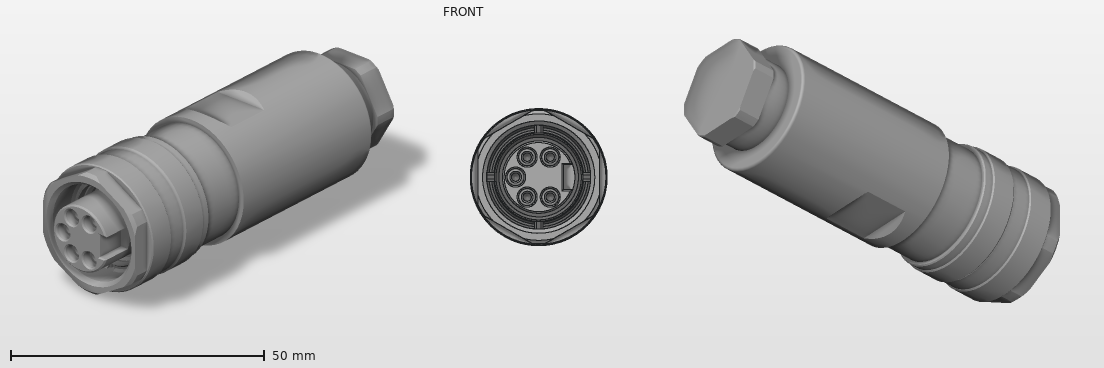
import cadquery as cq
import math

LENGTH = 82.6

NUT_FRONT = 2.65
NUT_END = 6.3
FRONT_COLLAR_END = 12.0
GROOVE_END = 15.9
REAR_COLLAR_END = 21.6
RING_END = 23.7
NECK_END = 33.6
BODY_END = 72.4
REAR_NECK_END = 77.5

BODY_DIA = 27.0
RING_DIA = 26.3
NECK_DIA = 24.5
REAR_NECK_DIA = 18.6
EDGE = 0.25
COLLAR_EDGE = 0.5
BODY_FILLET = 0.6

FRONT_HEX_FLATS = 23.95
FRONT_HEX_CORNER_DIA = 26.3
FRONT_HEX_EDGE = 0.7
REAR_HEX_FLATS = 19.0
REAR_HEX_CORNER_DIA = 21.0
REAR_HEX_EDGE = 0.25

FLAT_TO_FLAT = 24.1
FLAT_START = 38.5
FLAT_END = 48.4
CUT_OVERLAP = 0.8

MOUTH_DIA = 22.1
MOUTH_DEPTH = 1.0
BORE_DIA = 20.5
BORE_END = 8.9
TAPER_DIA = 19.6
SLEEVE_DIA = 18.6
SLEEVE_BASE = 9.6
SLEEVE_TIP_DIA = 17.8
SLEEVE_BORE_DIA = 17.4
GROOVE_MOUTH_DIA = 16.85
GROOVE_DIA = 15.7
GROOVE_FRONT = 10.7
GROOVE_TAPER_END = 11.3
RECESS_END = 12.4

SLIT_COUNT = 4
SLIT_WIDTH = 1.7
SLIT_DEPTH = 1.0
SLIT_INNER_WIDTH = 0.8
SLIT_INNER_DEPTH = 1.5

INSERT_DIA = 14.3
INSERT_EDGE = 0.3
CONTACT_CIRCLE_RADIUS = 4.55
CONTACT_ANGLES = (60, 120, 180, 240, 300)
CONTACT_HOLE_DIA = 3.4
CONTACT_HOLE_DEPTH = 2.2
CONTACT_HOLE_EDGE = 0.29
CONTACT_MOUTH_DIA = 2.3
CONTACT_BORE_DIA = 1.65
CONTACT_BORE_DEPTH = 4.95
CONTACT_TIP_DEPTH = 0.7
KEYWAY_WALL_X = 4.9
KEYWAY_WIDTH = 4.95
KEYWAY_END = 6.6
KEYWAY_EDGE = 0.25


def revolve_y(points):
    """Turn a closed (radius, y) outline about the Y axis."""
    return cq.Workplane("XY").polyline(points).close().revolve(360, (0, 0, 0), (0, 1, 0))


def turned(dia, start, end, front_edge=0.0, rear_edge=0.0):
    """Solid cylinder along Y with optional 45 degree edges."""
    radius = dia / 2
    points = [(0, start), (radius - front_edge, start)]
    if front_edge:
        points.append((radius, start + front_edge))
    points.append((radius, end - rear_edge))
    if rear_edge:
        points.append((radius - rear_edge, end))
    points.append((0, end))
    return revolve_y(points)


def hexagon(flats, start, end, turn):
    """Hexagonal prism along Y, turned about the axis by an angle in degrees."""
    corner_dia = flats / math.cos(math.radians(30))
    prism = cq.Workplane("XZ", origin=(0, start, 0)).polygon(6, corner_dia).extrude(start - end)
    return prism.rotate((0, 0, 0), (0, 1, 0), turn)


def make_outside():
    front_nut = hexagon(FRONT_HEX_FLATS, NUT_FRONT, NUT_END, 30).intersect(
        turned(FRONT_HEX_CORNER_DIA, NUT_FRONT, NUT_END, front_edge=FRONT_HEX_EDGE)
    )
    rear_nut = hexagon(REAR_HEX_FLATS, REAR_NECK_END, LENGTH, 0).intersect(
        turned(REAR_HEX_CORNER_DIA, REAR_NECK_END, LENGTH, rear_edge=REAR_HEX_EDGE)
    )
    body = turned(BODY_DIA, NECK_END, BODY_END).faces(">Y").edges().fillet(BODY_FILLET)
    steps = [
        turned(BODY_DIA, NUT_END, FRONT_COLLAR_END, EDGE, EDGE),
        turned(RING_DIA, FRONT_COLLAR_END, GROOVE_END),
        turned(BODY_DIA, GROOVE_END, REAR_COLLAR_END, COLLAR_EDGE, EDGE),
        turned(RING_DIA, REAR_COLLAR_END, RING_END, rear_edge=EDGE),
        turned(NECK_DIA, RING_END, NECK_END),
        body,
        turned(REAR_NECK_DIA, BODY_END, REAR_NECK_END),
        rear_nut,
    ]
    outside = front_nut
    for step in steps:
        outside = outside.union(step)
    return outside


def make_wrench_flats():
    """Two flat-bottomed cuts whose end walls slope outward at 45 degrees."""
    flat = FLAT_TO_FLAT / 2
    rise = BODY_DIA / 2 - flat + CUT_OVERLAP
    upper = (
        cq.Workplane("YZ")
        .polyline(
            [
                (FLAT_START, flat),
                (FLAT_END, flat),
                (FLAT_END + rise, flat + rise),
                (FLAT_START - rise, flat + rise),
            ]
        )
        .close()
        .extrude(BODY_DIA / 2, both=True)
    )
    return upper.union(upper.mirror("XY"))


def make_recess():
    return revolve_y(
        [
            (0, NUT_FRONT),
            (MOUTH_DIA / 2, NUT_FRONT),
            (BORE_DIA / 2, NUT_FRONT + MOUTH_DEPTH),
            (BORE_DIA / 2, BORE_END),
            (TAPER_DIA / 2, SLEEVE_BASE),
            (SLEEVE_DIA / 2, SLEEVE_BASE),
            (SLEEVE_TIP_DIA / 2, BORE_END),
            (SLEEVE_BORE_DIA / 2, BORE_END),
            (SLEEVE_BORE_DIA / 2, GROOVE_FRONT),
            (GROOVE_MOUTH_DIA / 2, GROOVE_FRONT),
            (GROOVE_DIA / 2, GROOVE_TAPER_END),
            (GROOVE_DIA / 2, RECESS_END),
            (0, RECESS_END),
        ]
    )


def make_slits():
    inner_radius = SLEEVE_BORE_DIA / 2
    radial = BORE_DIA / 2 - inner_radius
    middle = inner_radius + radial / 2
    slits = cq.Workplane("XY")
    for index in range(SLIT_COUNT):
        for width, depth in ((SLIT_WIDTH, SLIT_DEPTH), (SLIT_INNER_WIDTH, SLIT_INNER_DEPTH)):
            slit = (
                cq.Workplane("XY")
                .box(radial, depth, width)
                .translate((middle, BORE_END + depth / 2, 0))
                .rotate((0, 0, 0), (0, 1, 0), index * 360 / SLIT_COUNT)
            )
            slits = slits.add(slit)
    return slits.combine()


def make_contact_hole():
    """Counterbored socket: wide entry, tapered contact mouth, narrow bore with a conical end."""
    hole = CONTACT_HOLE_DIA / 2
    mouth = CONTACT_MOUTH_DIA / 2
    bore = CONTACT_BORE_DIA / 2
    bore_start = CONTACT_HOLE_DEPTH + mouth - bore
    bore_end = CONTACT_HOLE_DEPTH + CONTACT_BORE_DEPTH
    return revolve_y(
        [
            (0, 0),
            (hole + CONTACT_HOLE_EDGE, 0),
            (hole, CONTACT_HOLE_EDGE),
            (hole, CONTACT_HOLE_DEPTH),
            (mouth, CONTACT_HOLE_DEPTH),
            (bore, bore_start),
            (bore, bore_end),
            (0, bore_end + CONTACT_TIP_DEPTH),
        ]
    )


def make_insert():
    insert = turned(INSERT_DIA, 0, RECESS_END, front_edge=INSERT_EDGE)
    keyway_reach = INSERT_DIA / 2 - KEYWAY_WALL_X
    keyway = cq.Workplane("XY").box(
        keyway_reach, KEYWAY_END, KEYWAY_WIDTH, centered=(False, False, True)
    )
    entry = (
        cq.Workplane("XZ")
        .center(keyway_reach / 2, 0)
        .rect(keyway_reach + 2 * KEYWAY_EDGE, KEYWAY_WIDTH + 2 * KEYWAY_EDGE)
        .extrude(-KEYWAY_EDGE, taper=45)
    )
    return insert.cut(keyway.union(entry).translate((KEYWAY_WALL_X, 0, 0)))


result = make_outside().cut(make_wrench_flats()).cut(make_recess()).cut(make_slits())
result = result.union(make_insert())
for angle in CONTACT_ANGLES:
    x = CONTACT_CIRCLE_RADIUS * math.cos(math.radians(angle))
    z = CONTACT_CIRCLE_RADIUS * math.sin(math.radians(angle))
    result = result.cut(make_contact_hole().translate((x, 0, z)))